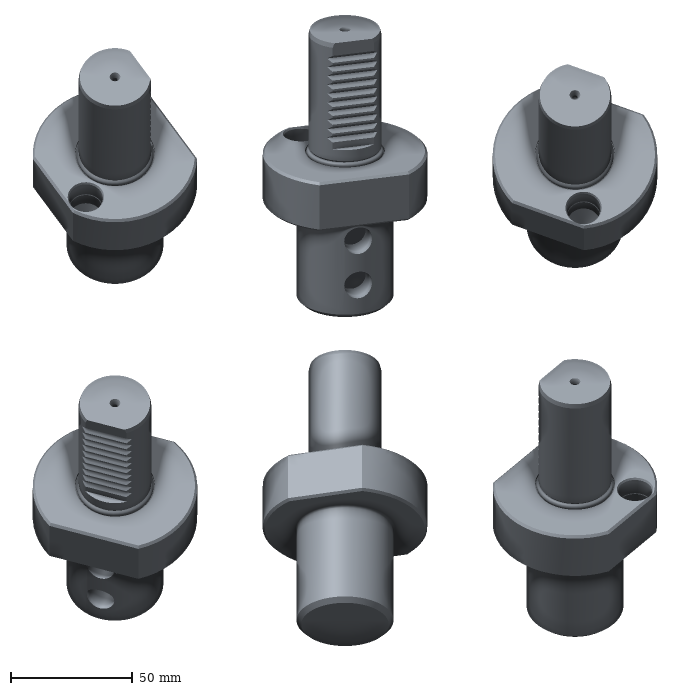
import cadquery as cq
import math


total_height = 122.0
shank_length = 55.0
flange_thickness = 22.0
body_length = total_height - shank_length - flange_thickness
flange_bottom = -flange_thickness
body_bottom = flange_bottom - body_length

flange_diameter = 68.0
flat_to_flat = 58.0
front_flat = 30.0
flange_chamfer = 1.0

body_diameter = 40.0
body_chamfer = 2.0
body_root_fillet = 1.0

shank_diameter = 30.0
shank_tip_height = 2.0
shank_tip_inset = 0.5

neck_radius = 14.5
neck_taper_height = 0.7
seal_section_radius = 1.5
seal_groove_radius = 16.5
seal_groove_depth = 1.2

toothed_flat_offset = 12.1
toothed_flat_bottom = 7.2
groove_count = 10
first_to_last_groove = 36.0
groove_pitch = first_to_last_groove / (groove_count - 1)
groove_depth = 1.6
first_groove_below_top = 7.2

centre_mouth_diameter = 4.4
centre_pilot_diameter = 2.0
centre_cone_angle = 60.0
centre_pilot_length = 2.0

socket_diameter = 14.0
socket_step_depth = 7.9
socket_step_inset = 0.2
socket_depth = 14.0
socket_countersink_inset = 0.5
socket_countersink_angle = 60.0
socket_orbit_radius = 25.0
socket_angle = -60.0

drill_point_angle = 118.0

screw_hole_diameter = 12.0
screw_hole_depth = 10.0
first_screw_below_flange = 10.0
screw_spacing = 20.0


def cone_height(base_radius, tip_radius, full_angle):
    return (base_radius - tip_radius) / math.tan(math.radians(full_angle / 2))


def make_flange():
    back_flat = flat_to_flat - front_flat
    bar = (
        cq.Workplane("XY", origin=(0, (back_flat - front_flat) / 2, flange_bottom))
        .box(flange_diameter, flat_to_flat, flange_thickness, centered=(True, True, False))
    )
    disc = (
        cq.Workplane("XY", origin=(0, 0, flange_bottom))
        .circle(flange_diameter / 2)
        .extrude(flange_thickness)
    )
    return disc.intersect(bar).faces("<Z or >Z").edges().chamfer(flange_chamfer)


def make_body():
    radius = body_diameter / 2
    fillet_mid = body_root_fillet * (1 - math.sqrt(0.5))
    return (
        cq.Workplane("XZ")
        .moveTo(0, body_bottom)
        .lineTo(radius - body_chamfer, body_bottom)
        .lineTo(radius, body_bottom + body_chamfer)
        .lineTo(radius, flange_bottom - body_root_fillet)
        .threePointArc(
            (radius + fillet_mid, flange_bottom - fillet_mid),
            (radius + body_root_fillet, flange_bottom),
        )
        .lineTo(0, flange_bottom)
        .close()
        .revolve(360, (0, 0, 0), (0, 1, 0))
    )


def make_seal_groove():
    return (
        cq.Workplane("XY")
        .circle(seal_groove_radius)
        .circle(neck_radius)
        .extrude(-seal_groove_depth)
    )


def make_shank():
    """Shank and seal ring as one turned piece, starting at the underside of the ring."""
    radius = shank_diameter / 2
    return (
        cq.Workplane("XZ")
        .moveTo(0, -seal_section_radius)
        .lineTo(neck_radius, -seal_section_radius)
        .threePointArc((neck_radius + seal_section_radius, 0), (neck_radius, seal_section_radius))
        .lineTo(radius, seal_section_radius + neck_taper_height)
        .lineTo(radius, shank_length - shank_tip_height)
        .lineTo(radius - shank_tip_inset, shank_length)
        .lineTo(0, shank_length)
        .close()
        .revolve(360, (0, 0, 0), (0, 1, 0))
    )


def make_tooth_cutter():
    """Slab that leaves the shank flat, with 90-degree ridges that cut the grooves between the teeth."""
    slab_height = shank_length - toothed_flat_bottom
    cutter = (
        cq.Workplane("XY", origin=(0, toothed_flat_offset, toothed_flat_bottom))
        .box(shank_diameter, shank_diameter, slab_height, centered=(True, False, False))
    )
    for index in range(groove_count):
        groove_z = shank_length - first_groove_below_top - index * groove_pitch
        groove = (
            cq.Workplane("YZ")
            .moveTo(toothed_flat_offset, groove_z - groove_depth)
            .lineTo(toothed_flat_offset - groove_depth, groove_z)
            .lineTo(toothed_flat_offset, groove_z + groove_depth)
            .close()
            .extrude(shank_diameter / 2, both=True)
        )
        cutter = cutter.union(groove)
    return cutter


def make_centre_hole():
    mouth_radius = centre_mouth_diameter / 2
    pilot_radius = centre_pilot_diameter / 2
    pilot_top = shank_length - cone_height(mouth_radius, pilot_radius, centre_cone_angle)
    pilot_bottom = pilot_top - centre_pilot_length
    return (
        cq.Workplane("XZ")
        .moveTo(0, shank_length)
        .lineTo(mouth_radius, shank_length)
        .lineTo(pilot_radius, pilot_top)
        .lineTo(pilot_radius, pilot_bottom)
        .lineTo(0, pilot_bottom - cone_height(pilot_radius, 0, drill_point_angle))
        .close()
        .revolve(360, (0, 0, 0), (0, 1, 0))
    )


def make_socket():
    radius = socket_diameter / 2
    lower_radius = radius - socket_step_inset
    mouth_radius = radius + socket_countersink_inset
    countersink_depth = cone_height(mouth_radius, radius, socket_countersink_angle)
    angle = math.radians(socket_angle)
    centre = (socket_orbit_radius * math.cos(angle), socket_orbit_radius * math.sin(angle), 0)
    return (
        cq.Workplane("XZ")
        .lineTo(mouth_radius, 0)
        .lineTo(radius, -countersink_depth)
        .lineTo(radius, -socket_step_depth)
        .lineTo(lower_radius, -socket_step_depth - socket_step_inset)
        .lineTo(lower_radius, -socket_depth)
        .lineTo(0, -socket_depth - cone_height(lower_radius, 0, drill_point_angle))
        .close()
        .revolve(360, (0, 0, 0), (0, 1, 0))
        .translate(centre)
    )


def make_screw_holes():
    first_z = flange_bottom - first_screw_below_flange
    return (
        cq.Workplane("XZ", origin=(0, body_diameter / 2, 0))
        .pushPoints([(0, first_z), (0, first_z - screw_spacing)])
        .circle(screw_hole_diameter / 2)
        .extrude(screw_hole_depth)
    )


shank = make_shank().cut(make_tooth_cutter()).cut(make_centre_hole())
body = make_body().cut(make_screw_holes())
flange = make_flange().cut(make_seal_groove()).cut(make_socket())
result = flange.union(body).union(shank)